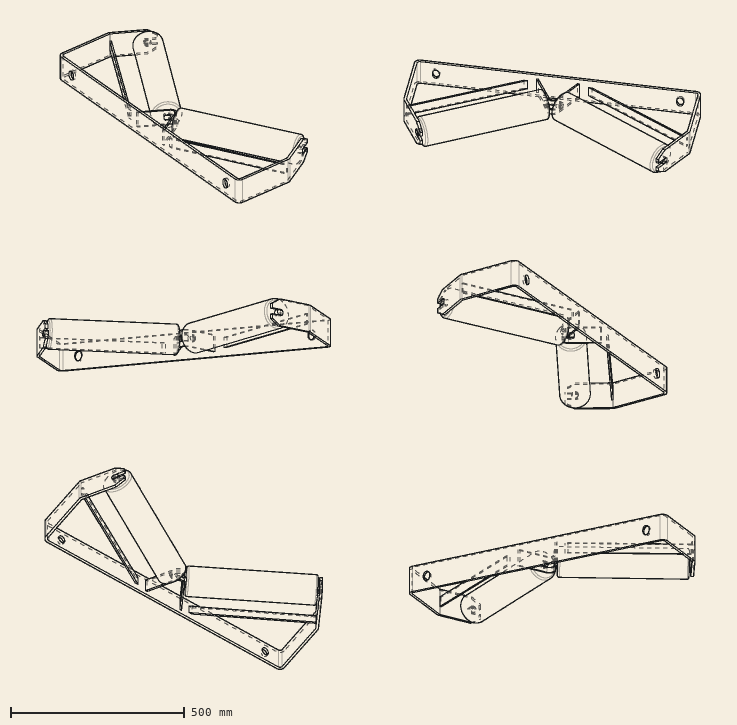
import cadquery as cq
import math


frame_length = 840.0
strip_width = 80.0
strip_thickness = 8.0
bend_radius = 2 * strip_thickness
knee_height = 187.0
arm_length = 141.0
arm_chamfer_length = 29.0
arm_chamfer_depth = 18.0
trough_angle = 30.0

mount_hole_spacing = 716.5
mount_hole_width = 21.0
mount_hole_height = 29.0

roller_diameter = 89.0
roller_length = 380.0
roller_edge_radius = 5.0
axis_station = 112.0
end_gap = 5.5
shaft_diameter = 20.0
shaft_flat_width = 14.0
shaft_slot_width = 18.0

bracket_width = 49.5
bracket_thickness = 5.0
bracket_bend_radius = 18.0
brace_width = 30.0
brace_thickness = 5.0
brace_foot = 95.0

sine = math.sin(math.radians(trough_angle))
cosine = math.cos(math.radians(trough_angle))
arm_direction = cq.Vector(-sine, cosine, 0)
outward = cq.Vector(cosine, sine, 0)
knee = cq.Vector(frame_length / 2, knee_height, 0)

roller_start = strip_thickness + end_gap
roller_end = roller_start + roller_length
bracket_face = roller_end + end_gap
shaft_end = bracket_face + bracket_thickness

apex_height = knee_height + (knee.x * cosine - bracket_face) / sine


def on_side(body, side):
    """Return a +X side body as it is, or mirrored to -X when side is -1."""
    return body if side > 0 else body.mirror("YZ")


def arm_plane(station, depth=0.0):
    """Workplane at a station along the arm: x to the tip, y along -Z, z inward along the roller axis."""
    origin = knee + arm_direction * station - outward * depth
    return cq.Workplane(cq.Plane(origin=origin, xDir=arm_direction, normal=outward * -1))


def shaft_slot(depth, length):
    """Slot that is open toward the arm's tip and seats the shaft on a bottom of equal radius."""
    radius = shaft_diameter / 2
    half_width = shaft_slot_width / 2
    bottom = -math.sqrt(radius**2 - half_width**2)
    return (
        arm_plane(axis_station, depth)
        .moveTo(arm_length, -half_width)
        .lineTo(bottom, -half_width)
        .threePointArc((-radius, 0), (bottom, half_width))
        .lineTo(arm_length, half_width)
        .close()
        .extrude(length)
    )


def arm_tip_waste():
    """Everything beyond the arm's square tip and its two chamfers."""
    half_width = strip_width / 2
    tip_half_width = half_width - arm_chamfer_depth
    return (
        arm_plane(arm_length)
        .moveTo(-arm_chamfer_length, -half_width)
        .lineTo(0, -tip_half_width)
        .lineTo(0, tip_half_width)
        .lineTo(-arm_chamfer_length, half_width)
        .lineTo(strip_width, half_width)
        .lineTo(strip_width, -half_width)
        .close()
        .extrude(strip_thickness)
    )


def make_frame():
    """Strip bent at two corners and two knees, with slotted arms and two mounting holes."""
    overlong_tip = knee + arm_direction * (arm_length + strip_width / 2)
    half_outline = [(knee.x, 0), (knee.x, knee.y), (overlong_tip.x, overlong_tip.y)]
    other_half = [(-x, y) for x, y in reversed(half_outline)]
    frame = (
        cq.Workplane("XY")
        .polyline(half_outline + other_half)
        .close()
        .extrude(strip_width / 2, both=True)
    )
    bends = cq.selectors.BoxSelector(
        (-frame_length, -bend_radius, -strip_width),
        (frame_length, knee_height + bend_radius, strip_width),
    )
    frame = frame.edges("|Z").edges(bends).fillet(bend_radius)
    frame = frame.faces("<Z or >Z or >Y").shell(-strip_thickness)

    for side in (-1, 1):
        frame = frame.cut(on_side(arm_tip_waste(), side))
        frame = frame.cut(on_side(shaft_slot(0, strip_thickness), side))

    mount_holes = (
        cq.Workplane("XZ")
        .pushPoints([(-mount_hole_spacing / 2, 0), (mount_hole_spacing / 2, 0)])
        .ellipse(mount_hole_width / 2, mount_hole_height / 2)
        .extrude(-strip_thickness)
    )
    return frame.cut(mount_holes)


def make_bracket():
    """V strip standing on the back of the frame, slotted across its top for both shafts."""
    foot = (apex_height - strip_thickness) * sine / cosine
    bracket = (
        cq.Workplane("XY")
        .polyline([(-foot, strip_thickness), (foot, strip_thickness), (0, apex_height)])
        .close()
        .extrude(bracket_width / 2, both=True)
    )
    bracket = bracket.edges("|Z and >Y").fillet(bracket_bend_radius)
    bracket = bracket.faces("<Z or >Z or <Y").shell(-bracket_thickness)
    for side in (-1, 1):
        bracket = bracket.cut(on_side(shaft_slot(bracket_face, bracket_bend_radius), side))
    return bracket


def make_brace(side, frame):
    """Flat strip from the inside of the knee to the back of the frame."""
    inner_wall = knee.x - strip_thickness
    run = inner_wall - brace_foot
    rise = knee_height - strip_thickness
    slope = rise / run
    half_foot = brace_thickness / 2 * math.hypot(run, rise) / rise

    start_x = inner_wall + strip_thickness / 2
    start_y = knee_height + (start_x - inner_wall) * slope
    half_start = half_foot * slope
    brace = (
        cq.Workplane("XY")
        .polyline([
            (start_x, start_y + half_start),
            (brace_foot - half_foot, strip_thickness),
            (brace_foot + half_foot, strip_thickness),
            (start_x, start_y - half_start),
        ])
        .close()
        .extrude(brace_width / 2, both=True)
    )
    return on_side(brace, side).cut(frame)


def make_roller(side):
    """Roller on its shaft; both shaft ends have flats where they sit in the slots."""
    barrel = (
        arm_plane(axis_station, roller_start)
        .circle(roller_diameter / 2)
        .extrude(roller_length)
        .edges()
        .fillet(roller_edge_radius)
    )
    shaft = (
        arm_plane(axis_station, strip_thickness)
        .circle(shaft_diameter / 2)
        .extrude(bracket_face - strip_thickness)
    )
    flatted_core = (
        arm_plane(axis_station)
        .circle(shaft_diameter / 2)
        .extrude(shaft_end)
        .intersect(arm_plane(axis_station).rect(shaft_diameter, shaft_flat_width).extrude(shaft_end))
    )
    return on_side(barrel.union(shaft).union(flatted_core), side)


frame = make_frame()
bracket = make_bracket()
braces = [make_brace(side, frame) for side in (-1, 1)]
rollers = [make_roller(side) for side in (-1, 1)]

result = cq.Compound.makeCompound([
    *frame.solids().vals(),
    *bracket.solids().vals(),
    *[brace.solids().val() for brace in braces],
    *[roller.solids().val() for roller in rollers],
])